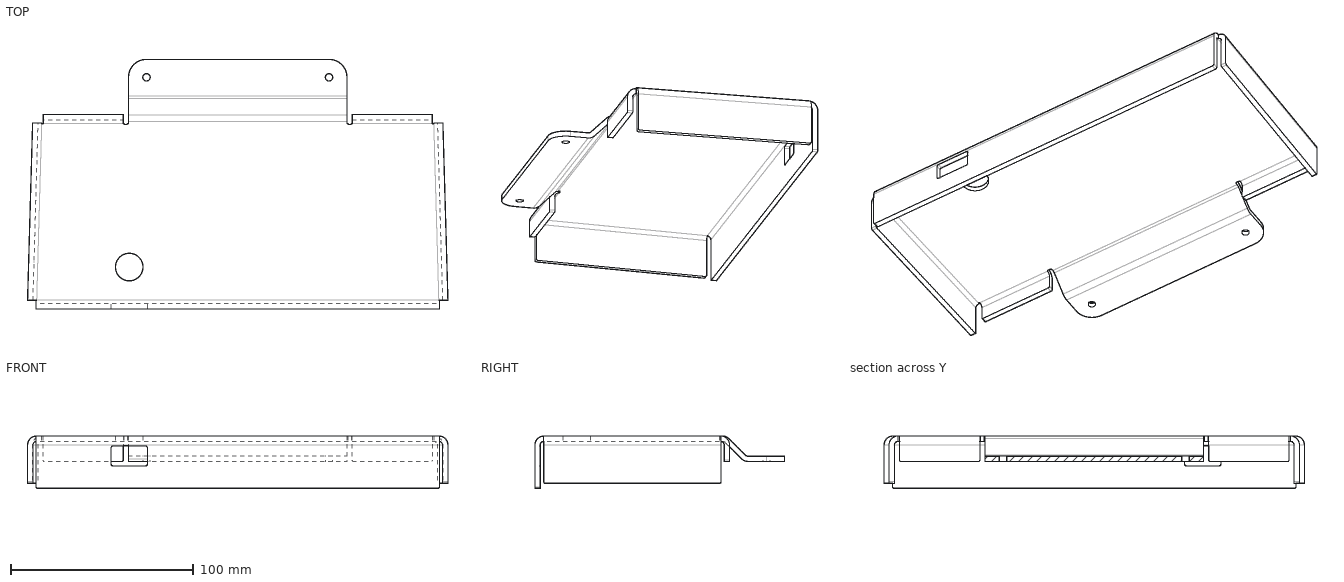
import cadquery as cq
import math

thickness = 3.0
inner_radius = 2.0
outer_radius = inner_radius + thickness
corner_radius = 1.0

front_half_width = 115.3
rear_half_width = 112.5
cover_depth = 106.8
side_front_y = 4.8
side_rear_y = 102.2
side_height = 26.0
front_lip_width = 221.5
front_lip_height = 28.8
rear_lip_height = 14.0
rear_lip_outer_x = 106.8
rear_lip_inner_x = 62.7

tab_width = 120.0
tab_end_y = 137.0
tab_drop = rear_lip_height - thickness
tab_bend_y = 102.9
tab_corner_radius = 10.0
tab_hole_diameter = 4.0
tab_hole_spacing = 100.0
tab_hole_inset = 10.0
notch_floor_y = 101.3

top_hole_diameter = 15.0
top_hole_x = -59.5
top_hole_y = 23.0
window_width = 19.8
window_height = 10.8
window_center_x = -59.5
window_top_z = -5.5

front_bend_y = outer_radius
rear_bend_y = cover_depth - outer_radius
taper = math.atan2(front_half_width - rear_half_width, side_rear_y - side_front_y)
bend_inset = outer_radius / math.cos(taper)


def side_bend_x(y):
    """Half width of the flat top at depth y, where the side bends begin."""
    outside = front_half_width - (y - side_front_y) * math.tan(taper)
    return outside - bend_inset


def flange(width, height):
    """Bent-down flange, centred on X, leaving its bend line at the origin towards +Y."""
    diagonal = math.sqrt(0.5)
    return (
        cq.Workplane("YZ")
        .moveTo(0, 0)
        .threePointArc(
            (outer_radius * diagonal, outer_radius * (diagonal - 1)),
            (outer_radius, -outer_radius),
        )
        .lineTo(outer_radius, -height)
        .lineTo(inner_radius, -height)
        .lineTo(inner_radius, -outer_radius)
        .threePointArc(
            (inner_radius * diagonal, inner_radius * diagonal - outer_radius),
            (0, -thickness),
        )
        .close()
        .extrude(width / 2, both=True)
    )


def lip(width, height):
    """Flange with rounded lower corners."""
    return flange(width, height).faces("<Z").edges("|Y").fillet(corner_radius)


def make_top():
    """Flat tapered sheet between the four bend lines."""
    rear_x = side_bend_x(rear_bend_y)
    front_x = side_bend_x(front_bend_y)
    return (
        cq.Workplane("XY")
        .polyline([
            (-front_x, front_bend_y),
            (front_x, front_bend_y),
            (rear_x, rear_bend_y),
            (-rear_x, rear_bend_y),
        ])
        .close()
        .extrude(-thickness)
    )


def make_right_wall():
    """Tapered side wall on +X, with its ends trimmed square to Y."""
    length = side_rear_y - side_front_y
    middle_y = (side_front_y + side_rear_y) / 2
    wall = (
        flange(length + 2 * outer_radius, side_height)
        .rotate((0, 0, 0), (0, 0, 1), math.degrees(taper) - 90)
        .translate((side_bend_x(middle_y), middle_y, 0))
    )
    trim = (
        cq.Workplane("XY")
        .box(2 * front_half_width, length, side_height)
        .faces("<Z")
        .edges("|X")
        .fillet(corner_radius)
        .translate((front_half_width, middle_y, -side_height / 2))
    )
    return wall.intersect(trim)


def make_front_lip():
    return (
        lip(front_lip_width, front_lip_height)
        .rotate((0, 0, 0), (0, 0, 1), 180)
        .translate((0, front_bend_y, 0))
    )


def make_right_rear_lip():
    width = rear_lip_outer_x - rear_lip_inner_x
    middle_x = (rear_lip_outer_x + rear_lip_inner_x) / 2
    return lip(width, rear_lip_height).translate((middle_x, rear_bend_y, 0))


def make_tab():
    """Mounting tab stepped down through two opposite 45 degree bends."""
    sin45 = math.sqrt(0.5)
    sin22 = math.sin(math.pi / 8)
    cos22 = math.cos(math.pi / 8)
    bend_drop = (outer_radius + inner_radius) * (1 - sin45)
    bend_run = (outer_radius + inner_radius) * sin45
    slope_run = tab_drop - bend_drop
    lower_bend_y = tab_bend_y + bend_run + slope_run
    upper_z = -outer_radius
    lower_z = inner_radius - tab_drop

    def upper(radius, sine, cosine):
        return (tab_bend_y + radius * sine, upper_z + radius * cosine)

    def lower(radius, sine, cosine):
        return (lower_bend_y - radius * sine, lower_z - radius * cosine)

    tab = (
        cq.Workplane("YZ")
        .moveTo(notch_floor_y, 0)
        .lineTo(tab_bend_y, 0)
        .threePointArc(upper(outer_radius, sin22, cos22), upper(outer_radius, sin45, sin45))
        .lineTo(*lower(inner_radius, sin45, sin45))
        .threePointArc(lower(inner_radius, sin22, cos22), (lower_bend_y, -tab_drop))
        .lineTo(tab_end_y, -tab_drop)
        .lineTo(tab_end_y, -tab_drop - thickness)
        .lineTo(lower_bend_y, -tab_drop - thickness)
        .threePointArc(lower(outer_radius, sin22, cos22), lower(outer_radius, sin45, sin45))
        .lineTo(*upper(inner_radius, sin45, sin45))
        .threePointArc(upper(inner_radius, sin22, cos22), (tab_bend_y, -thickness))
        .lineTo(notch_floor_y, -thickness)
        .close()
        .extrude(tab_width / 2, both=True)
    )
    tab = tab.faces(">Y").edges("|Z").fillet(tab_corner_radius)
    hole_y = tab_end_y - tab_hole_inset
    holes = (
        cq.Workplane("XY")
        .pushPoints([(side * tab_hole_spacing / 2, hole_y) for side in (-1, 1)])
        .circle(tab_hole_diameter / 2)
        .extrude(-tab_drop - 2 * thickness)
    )
    return tab.cut(holes)


def make_right_notch():
    """Round-bottomed relief between the tab and the rear lip."""
    width = rear_lip_inner_x - tab_width / 2
    middle_x = tab_width / 2 + width / 2
    radius = width / 2
    return (
        cq.Workplane("XY")
        .moveTo(middle_x - radius, cover_depth)
        .lineTo(middle_x - radius, notch_floor_y + radius)
        .threePointArc((middle_x, notch_floor_y), (middle_x + radius, notch_floor_y + radius))
        .lineTo(middle_x + radius, cover_depth)
        .close()
        .extrude(-rear_lip_height)
    )


def make_top_hole():
    return (
        cq.Workplane("XY")
        .center(top_hole_x, top_hole_y)
        .circle(top_hole_diameter / 2)
        .extrude(-thickness)
    )


def make_window():
    """Rounded rectangular opening through the front lip."""
    return (
        cq.Workplane("XY")
        .box(window_width, 2 * thickness, window_height)
        .edges("|Y")
        .fillet(corner_radius)
        .translate((window_center_x, thickness, window_top_z - window_height / 2))
    )


result = make_top().union(make_front_lip()).union(make_tab())
for right_part in (make_right_wall(), make_right_rear_lip()):
    result = result.union(right_part).union(right_part.mirror("YZ"))

right_notch = make_right_notch()
for opening in (right_notch, right_notch.mirror("YZ"), make_top_hole(), make_window()):
    result = result.cut(opening)